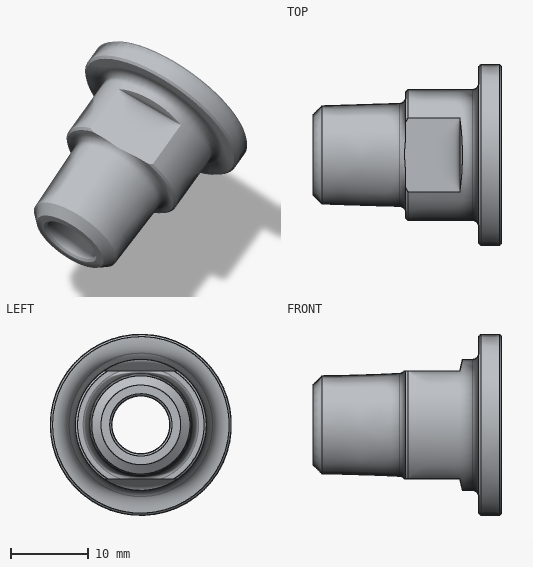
import cadquery as cq
import math

total_length = 24.5
flange_thickness = 3.0
flange_start = total_length - flange_thickness
shoulder_x = 12.05

flange_radius = 23.5 / 2
hub_radius = 17.0 / 2
bore_radius = 7.5 / 2
tip_radius = 5.17
edge_chamfer = 0.3
tip_chamfer = 1.2
root_fillet = 0.8

spigot_start_radius = tip_radius + tip_chamfer
spigot_slope = 1 / 32

flat_height = 7.0
flat_end_x = 19.05
flat_end_lean = 13.0


def turned_body():
    """Spigot, hub and flange revolved around the X axis, with filleted roots."""
    taper_angle = math.atan(spigot_slope)
    fillet_x = shoulder_x - root_fillet
    fillet_radial = (
        spigot_start_radius
        + spigot_slope * (fillet_x - tip_chamfer)
        + root_fillet / math.cos(taper_angle)
    )
    fillet_start_x = fillet_x + root_fillet * math.sin(taper_angle)
    fillet_start_radius = fillet_radial - root_fillet * math.cos(taper_angle)
    middle_angle = (math.pi / 2 - taper_angle) / 2
    fillet_middle = (
        fillet_x + root_fillet * math.cos(middle_angle),
        fillet_radial - root_fillet * math.sin(middle_angle),
    )

    diagonal = root_fillet * math.sqrt(0.5)
    hub_fillet_x = flange_start - root_fillet
    hub_fillet_radial = hub_radius + root_fillet

    profile = (
        cq.Workplane("XY")
        .moveTo(0, 0)
        .lineTo(0, tip_radius)
        .lineTo(tip_chamfer, spigot_start_radius)
        .lineTo(fillet_start_x, fillet_start_radius)
        .threePointArc(fillet_middle, (shoulder_x, fillet_radial))
        .lineTo(shoulder_x, hub_radius - edge_chamfer)
        .lineTo(shoulder_x + edge_chamfer, hub_radius)
        .lineTo(hub_fillet_x, hub_radius)
        .threePointArc(
            (hub_fillet_x + diagonal, hub_fillet_radial - diagonal),
            (flange_start, hub_fillet_radial),
        )
        .lineTo(flange_start, flange_radius - edge_chamfer)
        .lineTo(flange_start + edge_chamfer, flange_radius)
        .lineTo(total_length - edge_chamfer, flange_radius)
        .lineTo(total_length, flange_radius - edge_chamfer)
        .lineTo(total_length, 0)
        .close()
    )
    return profile.revolve(360, (0, 0, 0), (1, 0, 0))


def bore():
    """Through bore with a chamfered mouth at the spigot tip."""
    profile = (
        cq.Workplane("XY")
        .moveTo(0, 0)
        .lineTo(0, bore_radius + edge_chamfer)
        .lineTo(edge_chamfer, bore_radius)
        .lineTo(total_length, bore_radius)
        .lineTo(total_length, 0)
        .close()
    )
    return profile.revolve(360, (0, 0, 0), (1, 0, 0))


def flat_cutter():
    """Block above the upper flat, with a leaning wall at the flange end."""
    top_z = hub_radius + edge_chamfer
    top_end_x = flat_end_x + (top_z - flat_height) * math.tan(math.radians(flat_end_lean))
    return (
        cq.Workplane("XZ")
        .moveTo(0, flat_height)
        .lineTo(flat_end_x, flat_height)
        .lineTo(top_end_x, top_z)
        .lineTo(0, top_z)
        .close()
        .extrude(hub_radius, both=True)
    )


upper_cutter = flat_cutter()
lower_cutter = upper_cutter.mirror("XY")
result = turned_body().cut(bore()).cut(upper_cutter).cut(lower_cutter)